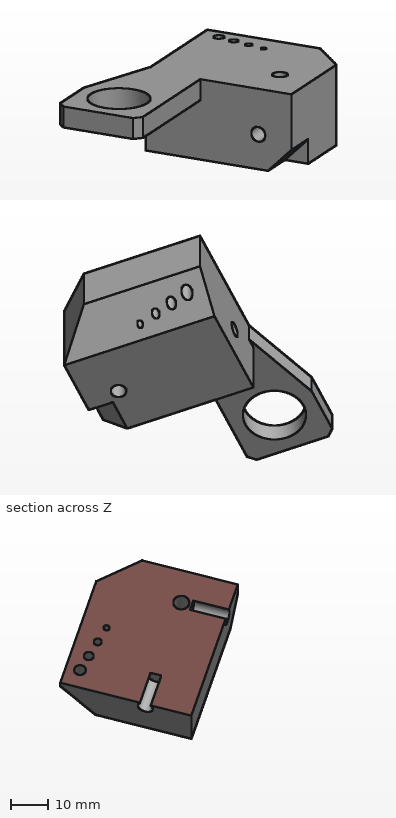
import cadquery as cq
import math

block_width = 44.0
block_depth = 37.0
block_height = 23.0
back_chamfer = 10.0

relief_slope_length = 10.0
relief_leg = relief_slope_length / math.sqrt(2)
relief_depth = 10.0

plate_thickness = 6.0
plate_width = 25.0
plate_overhang = 8.5
plate_reach = 36.5
plate_tip_chamfer = 2.0
taper_start = 3.0
taper_end_from_tip = 16.25
eye_diameter = 17.0
eye_from_tip = 12.5

mount_diameter = 4.2
mount_from_right = 10.0
mount_from_front = 13.0
mount_from_bottom = 10.0
blind_depth = 10.0

gauge_diameters = [3.0, 2.5, 2.0, 1.5]
gauge_from_left = 5.5
gauge_from_back = 4.0
gauge_pitch = 5.0
gauge_step = 1.0


def make_block():
    block = cq.Workplane("XY").box(block_width, block_depth, block_height, centered=False)
    block = block.edges("|Z and >X and >Y").chamfer(back_chamfer)
    rear_bottom_wedge = (
        cq.Workplane("YZ")
        .moveTo(block_depth, 0)
        .lineTo(block_depth - back_chamfer, 0)
        .lineTo(block_depth, back_chamfer)
        .close()
        .extrude(block_width)
    )
    return block.cut(rear_bottom_wedge)


def make_corner_relief():
    """Triangular prism running back from the block front."""
    return (
        cq.Workplane("XZ")
        .moveTo(block_width, 0)
        .lineTo(block_width - relief_leg, 0)
        .lineTo(block_width, relief_leg)
        .close()
        .extrude(-relief_depth)
    )


def make_plate():
    left = -plate_overhang
    right = left + plate_width
    tip = -plate_reach
    outline = [
        (0, taper_start),
        (left, tip + taper_end_from_tip),
        (left, tip + plate_tip_chamfer),
        (left + plate_tip_chamfer, tip),
        (right - plate_tip_chamfer, tip),
        (right, tip + plate_tip_chamfer),
        (right, taper_start),
    ]
    plate = (
        cq.Workplane("XY", origin=(0, 0, block_height - plate_thickness))
        .polyline(outline)
        .close()
        .extrude(plate_thickness)
    )
    eye = vertical_hole(left + plate_width / 2, tip + eye_from_tip, eye_diameter)
    return plate.cut(eye)


def vertical_hole(x, y, diameter):
    """Cylinder over the full height of the part."""
    return cq.Workplane("XY").center(x, y).circle(diameter / 2).extrude(block_height)


def drill_gauge_holes(body):
    for index, diameter in enumerate(gauge_diameters):
        x = gauge_from_left + index * gauge_pitch
        y = block_depth - gauge_from_back - index * gauge_step
        body = body.cut(vertical_hole(x, y, diameter))
    return body


def drill_mount_holes(body):
    """One hole through from the top, and one blind hole each in the front and the left side."""
    x = block_width - mount_from_right
    radius = mount_diameter / 2
    top_hole = vertical_hole(x, mount_from_front, mount_diameter)
    front_hole = cq.Workplane("XZ").center(x, mount_from_bottom).circle(radius).extrude(-blind_depth)
    left_hole = (
        cq.Workplane("YZ")
        .center(mount_from_front, mount_from_bottom)
        .circle(radius)
        .extrude(blind_depth)
    )
    return body.cut(top_hole).cut(front_hole).cut(left_hole)


body = make_block().cut(make_corner_relief()).union(make_plate())
body = drill_gauge_holes(body)
result = drill_mount_holes(body)